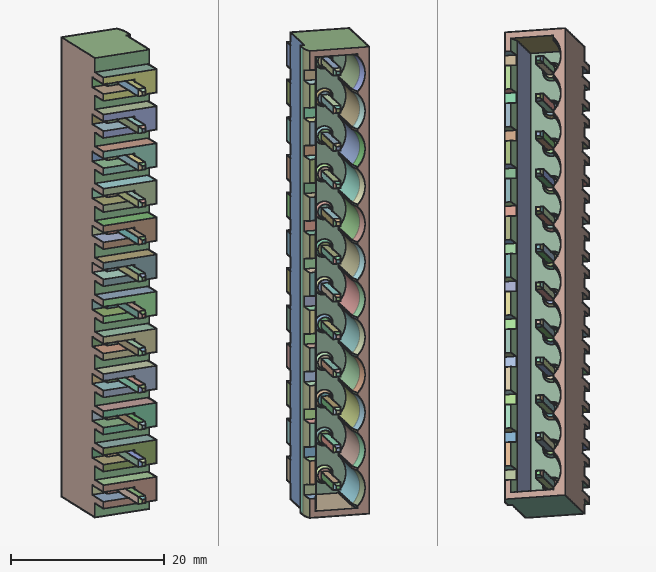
import cadquery as cq
import math

length = 62.95
pin_count = 12
pitch = 5.079

housing_depth = 9.75
housing_height = 7.95
rail_height = 8.5
rail_front_height = 8.05
rail_round_depth = 1.8
rail_depth = 3.1

end_wall = 0.9
cavity_depth = 8.0
lead_in_depth = 1.4
latch_wall_mouth_y = 7.3
latch_wall_inner_y = 6.8
scallop_radius = 3.35
scallop_depth = 1.0
scallop_lead_in = 0.4

notch_mouth_width = 1.9
notch_floor_width = 1.4
notch_depth = 1.15
notch_inner_y = 6.3

pin_y = 3.9
pin_width = 1.0
pin_front_x = 1.1
pin_back_x = 16.2
tip_length = 0.6
tip_width = 0.5

collar_base_diameter = 2.45
collar_top_diameter = 1.9
collar_height = 0.5

foot_back_x = 12.2
foot_height = 7.75
foot_width = 3.2
slot_width = 1.3
slot_front_x = 8.95
slot_ledge_x = 9.5
slot_ledge_y = 1.9

pin_places = [(i - (pin_count - 1) / 2) * pitch for i in range(pin_count)]


def block(x_range, y_range, z_center, z_width):
    """Box spanning the given X and Y ranges, centred on z_center."""
    x0, x1 = x_range
    y0, y1 = y_range
    box = cq.Workplane("XY").box(x1 - x0, y1 - y0, z_width, centered=(False, False, True))
    return box.translate((x0, y0, z_center))


def housing():
    """Solid housing with the rounded latch rail along its mating edge."""
    rail_rise = rail_height - rail_front_height
    rail_radius = (rail_round_depth**2 + rail_rise**2) / (2 * rail_rise)
    return (
        cq.Workplane("XY")
        .workplane(offset=-length / 2)
        .lineTo(0, rail_front_height)
        .radiusArc((rail_round_depth, rail_height), rail_radius)
        .lineTo(rail_depth, rail_height)
        .lineTo(rail_depth, housing_height)
        .lineTo(housing_depth, housing_height)
        .lineTo(housing_depth, 0)
        .close()
        .extrude(length)
    )


def cavity_outline(x, scallop_shift, latch_wall_y):
    """Closed cavity outline at depth x: a straight latch wall facing one scallop per pin."""
    half_length = length / 2 - end_wall
    center_y = pin_y + scallop_shift
    crest_y = center_y - scallop_radius
    flat_y = crest_y + scallop_depth
    half_width = math.sqrt(scallop_radius**2 - (center_y - flat_y) ** 2)

    outline = cq.Workplane("YZ", origin=(x, 0, 0)).moveTo(latch_wall_y, -half_length)
    outline = outline.lineTo(flat_y, -half_length)
    for z in pin_places:
        outline = outline.lineTo(flat_y, z - half_width)
        outline = outline.threePointArc((crest_y, z), (flat_y, z + half_width))
    return outline.lineTo(flat_y, half_length).lineTo(latch_wall_y, half_length).close()


def cavity():
    """Straight inner cavity plus the tapered lead-in at its mouth."""
    mouth = cavity_outline(0, 0, latch_wall_mouth_y)
    throat = cavity_outline(lead_in_depth, scallop_lead_in, latch_wall_inner_y)
    lead_in = cq.Solid.makeLoft([mouth.wire().val(), throat.wire().val()], True)
    return throat.extrude(cavity_depth - lead_in_depth).union(cq.Workplane(lead_in))


def pin(z):
    """Square pin with a tapered tip at each end."""
    shank_front = pin_front_x + tip_length
    shank_back = pin_back_x - tip_length
    shank = (
        cq.Workplane("YZ", origin=(shank_front, pin_y, z))
        .rect(pin_width, pin_width)
        .extrude(shank_back - shank_front)
    )
    for shank_end, direction in ((shank_front, -1), (shank_back, 1)):
        tip = (
            cq.Workplane("YZ", origin=(shank_end, pin_y, z))
            .rect(pin_width, pin_width)
            .workplane(offset=direction * tip_length)
            .rect(tip_width, tip_width)
            .loft()
        )
        shank = shank.union(tip)
    return shank


def collar(z):
    """Conical collar standing on the cavity floor around a pin."""
    return (
        cq.Workplane("YZ", origin=(cavity_depth, pin_y, z))
        .circle(collar_base_diameter / 2)
        .workplane(offset=-collar_height)
        .circle(collar_top_diameter / 2)
        .loft()
    )


def foot(z):
    return block((housing_depth, foot_back_x), (0, foot_height), z, foot_width)


def pin_slot(z):
    """Slot from the Y = 0 face in past the pin, with a shallow ledge at its front end."""
    slot_bottom_y = pin_y + slot_width / 2
    ledge = block((slot_front_x, slot_ledge_x), (0, slot_ledge_y), z, slot_width)
    return ledge.union(block((slot_ledge_x, foot_back_x), (0, slot_bottom_y), z, slot_width))


def notch(z):
    """Gap in the latch rail, narrowing from its mouth to its floor."""
    notch_height = rail_height - notch_inner_y
    return (
        cq.Workplane("YZ", origin=(0, notch_inner_y + notch_height / 2, z))
        .rect(notch_height, notch_mouth_width)
        .workplane(offset=notch_depth)
        .rect(notch_height, notch_floor_width)
        .loft()
    )


result = housing().cut(cavity())
for place in pin_places:
    result = result.cut(notch(place)).union(foot(place)).cut(pin_slot(place))
    result = result.union(collar(place)).union(pin(place))